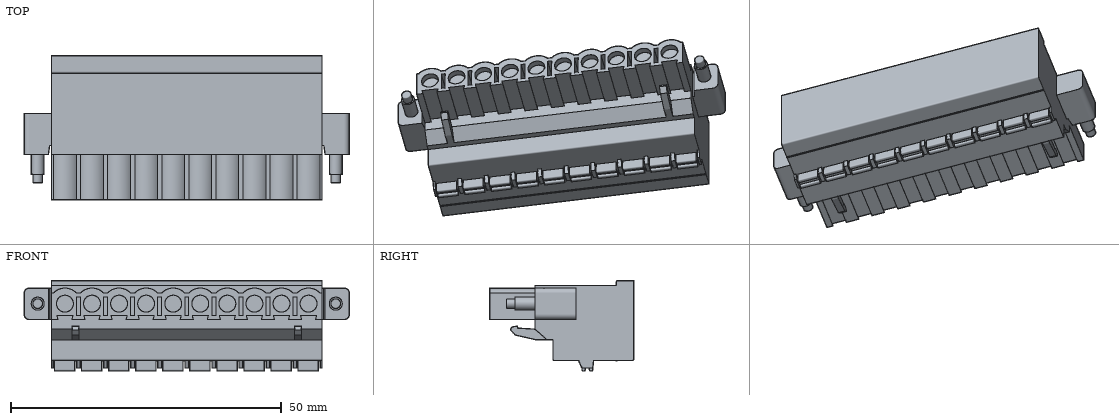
import cadquery as cq
import math


overall_length = 60.1
overall_depth = 26.6
overall_height = 16.7
pole_count = 10
body_length = 50.0
pitch = body_length / pole_count

body_top = 14.8
body_depth = 18.3
rear_lip_depth = 3.25
rear_lip_height = 0.9
step_depth = 14.95
step_height = 3.85
slope_start_depth = 16.05
slope_top_height = 5.8
body_edge_radius = 0.3
underside_rib_width = 0.2
underside_rib_height = 0.1

socket_bottom = 7.6
valley_height = 12.5
hole_height = 10.5
hole_radius = 1.55
hole_depth = 1.2
crown_radius = 2.9
crown_half_width = math.sqrt(crown_radius**2 - (valley_height - hole_height) ** 2)
slit_width = 0.7
slit_bottom = 8.3
slit_top = 11.7
slit_depth = overall_depth - body_depth
key_slot_top_width = 2.95
key_slot_bottom_width = 2.6
key_slot_height = 0.7

flange_top = hole_height + crown_radius
flange_back = 10.65
flange_corner_radius = 0.95
flange_width = (overall_length - body_length) / 2
relief_depth = 1.7
relief_mouth = 0.55
relief_end = 0.3

screw_inset = 2.5
screw_radius = 1.2
screw_end = 21.95
screw_tip_radius = 0.9
screw_tip_end = 23.5
screw_tip_rounding = 0.2

latch_offset = 20.55
latch_width = 1.25
latch_barb_root = (21.4, 6.0)
latch_barb_back = (21.5, 6.4)
latch_barb_front = (22.0, 6.3)
latch_nose_middle = (22.6, 6.1)
latch_nose_tip = (22.8, 5.65)
latch_chin = (21.9, 4.7)
latch_underside_start = (18.15, step_height)

foot_width = 3.8
foot_offset = -0.05
foot_back = 7.6
foot_front = 9.6
foot_root_back = 7.4
foot_root_front = 10.2
foot_base = -1.4
tooth_width = 0.65
tooth_rounding = 0.25
foot_bottom = body_top - overall_height


def extrude_profile(profile, center_x, width):
    """Extrude a (distance from back, height) sketch along X, centred on center_x."""
    return profile.extrude(width / 2, both=True).translate((center_x, 0, 0))


def side_sketch():
    """Sketch plane whose local x runs from the back toward the front."""
    return cq.Workplane(cq.Plane(origin=(0, 0, 0), xDir=(0, -1, 0), normal=(-1, 0, 0)))


def face_sketch(distance_from_back):
    """XZ sketch plane at a distance from the back; extrusions go toward the front."""
    return cq.Workplane("XZ", origin=(0, -distance_from_back, 0))


def block(width, near, far, bottom, top, center_x=0.0):
    """Box spanning two distances from the back and two heights."""
    return (
        cq.Workplane("XY")
        .box(width, far - near, top - bottom)
        .translate((center_x, -(near + far) / 2, (bottom + top) / 2))
    )


def make_body():
    outline = (
        side_sketch()
        .polyline(
            [
                (0, 0),
                (step_depth, 0),
                (step_depth, step_height),
                (slope_start_depth, step_height),
                (body_depth, slope_top_height),
                (body_depth, body_top - rear_lip_height),
                (rear_lip_depth, body_top - rear_lip_height),
                (rear_lip_depth, body_top),
                (0, body_top),
            ]
        )
        .close()
    )
    body = extrude_profile(outline, 0, body_length)
    for distance, height in ((0, 0), (step_depth, 0), (rear_lip_depth, body_top)):
        corner = cq.selectors.NearestToPointSelector((0, -distance, height))
        body = body.edges("|X").edges(corner).fillet(body_edge_radius)
    rib = block(
        body_length,
        rear_lip_depth - underside_rib_width,
        rear_lip_depth,
        -underside_rib_height,
        body_edge_radius,
    )
    return body.union(rib)


def make_socket():
    """One plug socket, centred on X = 0."""
    half_pitch = pitch / 2
    half_slot_bottom = key_slot_bottom_width / 2
    half_slot_top = key_slot_top_width / 2
    slot_roof = socket_bottom + key_slot_height
    length = overall_depth - body_depth
    socket = (
        face_sketch(body_depth)
        .moveTo(-half_pitch, socket_bottom)
        .lineTo(-half_slot_bottom, socket_bottom)
        .lineTo(-half_slot_top, slot_roof)
        .lineTo(half_slot_top, slot_roof)
        .lineTo(half_slot_bottom, socket_bottom)
        .lineTo(half_pitch, socket_bottom)
        .lineTo(half_pitch, valley_height)
        .lineTo(crown_half_width, valley_height)
        .threePointArc((0, hole_height + crown_radius), (-crown_half_width, valley_height))
        .lineTo(-half_pitch, valley_height)
        .close()
        .extrude(length)
    )
    hole = (
        face_sketch(overall_depth - hole_depth)
        .center(0, hole_height)
        .circle(hole_radius)
        .extrude(hole_depth)
    )
    return socket.cut(hole)


def make_slit(center_x):
    """Keying slit between two neighbouring sockets."""
    return block(slit_width, overall_depth - slit_depth, overall_depth, slit_bottom, slit_top, center_x)


def make_flange():
    """Screw flange on the -X end, with its relief gap and screw."""
    inner_x = -body_length / 2
    flange = (
        block(flange_width, flange_back, body_depth, socket_bottom, flange_top, inner_x - flange_width / 2)
        .edges("|Y and <X")
        .fillet(flange_corner_radius)
    )
    relief = (
        cq.Workplane("XY", origin=(inner_x, -body_depth, socket_bottom))
        .polyline([(0, 0), (-relief_mouth, 0), (-relief_end, relief_depth), (0, relief_depth)])
        .close()
        .extrude(flange_top - socket_bottom)
    )
    screw_x = -overall_length / 2 + screw_inset
    shank = (
        face_sketch(body_depth)
        .center(screw_x, hole_height)
        .circle(screw_radius)
        .extrude(screw_end - body_depth)
    )
    tip = (
        face_sketch(screw_end)
        .center(screw_x, hole_height)
        .circle(screw_tip_radius)
        .extrude(screw_tip_end - screw_end)
        .faces("<Y")
        .edges()
        .fillet(screw_tip_rounding)
    )
    return flange.cut(relief).union(shank).union(tip)


def make_latch(center_x):
    """Latch hook that rises from the slope under the plug face."""
    outline = (
        side_sketch()
        .moveTo(slope_start_depth, step_height)
        .lineTo(body_depth, slope_top_height)
        .lineTo(*latch_barb_root)
        .lineTo(*latch_barb_back)
        .lineTo(*latch_barb_front)
        .threePointArc(latch_nose_middle, latch_nose_tip)
        .lineTo(*latch_chin)
        .lineTo(*latch_underside_start)
        .close()
    )
    return extrude_profile(outline, center_x, latch_width)


def make_divider(center_x, width):
    """Tapered partition between neighbouring feet."""
    outline = (
        side_sketch()
        .polyline(
            [
                (foot_root_back, body_edge_radius),
                (foot_root_front, body_edge_radius),
                (foot_root_front, 0),
                (foot_front, foot_base),
                (foot_back, foot_base),
                (foot_root_back, 0),
            ]
        )
        .close()
    )
    return extrude_profile(outline, center_x, width)


def make_foot(center_x):
    """Foot of one pole, ending in two round-tipped teeth."""
    foot = block(foot_width, foot_back, foot_front, foot_base, body_edge_radius, center_x)
    for near in (foot_back, foot_front - tooth_width):
        tooth = (
            block(foot_width, near, near + tooth_width, foot_bottom, foot_base, center_x)
            .edges("|X and <Z")
            .fillet(tooth_rounding)
        )
        foot = foot.union(tooth)
    return foot


pole_positions = [(index - (pole_count - 1) / 2) * pitch for index in range(pole_count)]
boundary_positions = [(index - pole_count / 2) * pitch for index in range(1, pole_count)]

result = make_body()

socket = make_socket()
for pole_x in pole_positions:
    result = result.union(socket.translate((pole_x, 0, 0)))
    result = result.union(make_foot(pole_x + foot_offset))

for boundary_x in boundary_positions:
    result = result.cut(make_slit(boundary_x))
    result = result.union(make_divider(boundary_x, slit_width))

end_divider_x = body_length / 2 - slit_width / 4
for side in (-1, 1):
    result = result.union(make_divider(side * end_divider_x, slit_width / 2))
    result = result.union(make_latch(side * latch_offset))

flange = make_flange()
result = result.union(flange).union(flange.mirror("YZ"))